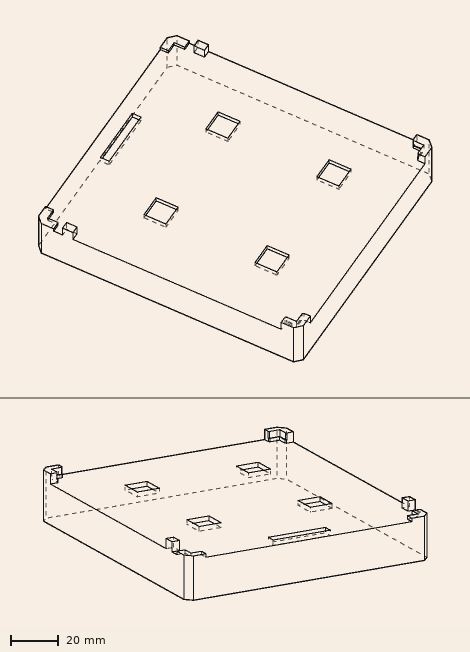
import cadquery as cq

plate_length = 127.13
plate_width = 116.71
overall_height = 22.6
post_height = 4.5
plate_height = overall_height - post_height
corner_chamfer = 3.0

foot_height = 1.5
foot_thickness = 3.9
arm_length = 8.95
ledge_width = 0.3
arm_end_chamfer = 0.5

tab_length = 5.0
tab_depth = 3.5
tab_offset = 13.2

cutout_center_y = -0.2

pocket_side = 10.5
pocket_spacing = 53.3
pocket_depth = 2.1
pattern_center_x = 6.0

slot_length = 27.4
slot_width = 4.2
slot_depth = 2.4
slot_offset = 6.6

half_length = plate_length / 2
half_width = plate_width / 2


def chamfered_block(height):
    """Full plan of the part, with its four corners cut off."""
    block = cq.Workplane("XY").box(plate_length, plate_width, height, centered=(True, True, False))
    return block.edges("|Z").chamfer(corner_chamfer)


def corner_angle(side_x, side_y, thickness, bottom, height):
    """L-shaped post with its outer corner on the plate corner at (side_x, side_y)."""
    insets = [
        (0, 0),
        (arm_length, 0),
        (arm_length, thickness),
        (thickness, thickness),
        (thickness, arm_length),
        (0, arm_length),
    ]
    points = []
    for inset_x, inset_y in insets:
        points.append((side_x * (half_length - inset_x), side_y * (half_width - inset_y)))
    return cq.Workplane("XY").workplane(offset=bottom).polyline(points).close().extrude(height)


def inner_edge(side_x, side_y, inset_x, inset_y, bottom, height):
    """Selector for the upright edge at the given insets from the plate corner."""
    x = side_x * (half_length - inset_x)
    y = side_y * (half_width - inset_y)
    return cq.selectors.NearestToPointSelector((x, y, bottom + height / 2))


def chamfered_angle(side_x, side_y, thickness, bottom, height):
    """Corner angle whose two arm ends are chamfered on their inner corners."""
    arm_end_edges = cq.selectors.SumSelector(
        inner_edge(side_x, side_y, arm_length, thickness, bottom, height),
        inner_edge(side_x, side_y, thickness, arm_length, bottom, height),
    )
    angle = corner_angle(side_x, side_y, thickness, bottom, height)
    return angle.edges(arm_end_edges).chamfer(arm_end_chamfer)


def corner_posts():
    """Plain feet on the -X corners, chamfered feet with a thinner upper wall on the +X corners."""
    wall_thickness = foot_thickness - ledge_width
    wall_bottom = plate_height + foot_height
    wall_height = post_height - foot_height
    posts = cq.Workplane("XY")
    for side_y in (-1, 1):
        posts = posts.add(corner_angle(-1, side_y, foot_thickness, plate_height, foot_height))
        posts = posts.add(chamfered_angle(1, side_y, foot_thickness, plate_height, foot_height))
        posts = posts.add(chamfered_angle(1, side_y, wall_thickness, wall_bottom, wall_height))
    return posts.combine().intersect(chamfered_block(overall_height))


def edge_tabs():
    """One tab on each long edge, flush with the plate side."""
    tab_x = -half_length + tab_offset + tab_length / 2
    tab_y = half_width - tab_depth / 2
    return (
        cq.Workplane("XY")
        .workplane(offset=plate_height)
        .pushPoints([(tab_x, tab_y), (tab_x, -tab_y)])
        .rect(tab_length, tab_depth)
        .extrude(post_height)
    )


def square_pockets():
    """Cutters for the 2 x 2 pattern of square pockets."""
    return (
        cq.Workplane("XY")
        .workplane(offset=plate_height)
        .center(pattern_center_x, cutout_center_y)
        .rarray(pocket_spacing, pocket_spacing, 2, 2)
        .rect(pocket_side, pocket_side)
        .extrude(-pocket_depth)
    )


def slot():
    """Cutter for the straight slot along the -X side."""
    return (
        cq.Workplane("XY")
        .workplane(offset=plate_height)
        .center(-half_length + slot_offset + slot_width / 2, cutout_center_y)
        .rect(slot_width, slot_length)
        .extrude(-slot_depth)
    )


result = (
    chamfered_block(plate_height)
    .union(corner_posts())
    .union(edge_tabs())
    .cut(square_pockets())
    .cut(slot())
)